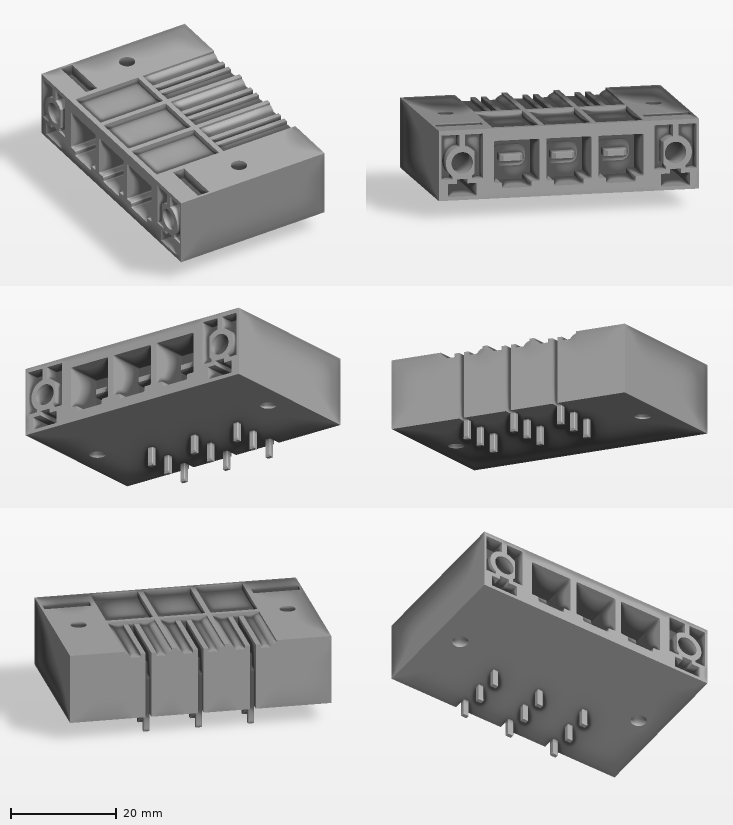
import cadquery as cq


LENGTH = 50.8
DEPTH = 32.0
HEIGHT = 13.6

POLE_PITCH = 10.15
POLE_X = [-POLE_PITCH, 0.0, POLE_PITCH]
PARTITION = 1.0
RECESS_WIDTH = POLE_PITCH - PARTITION
RECESS_DEPTH = 1.3

WINDOW_FRONT = 1.05
WINDOW_BACK = 15.0

CHANNEL_FRONT = WINDOW_BACK + PARTITION
RIB_WIDTH = 0.95
RIB_TOP = HEIGHT - 0.6
RIDGE_RADIUS = 2.1
RIDGE_AXIS_Z = HEIGHT - 2.45

CAVITY_WIDTH = 8.85
CAVITY_BOTTOM = 3.0
CAVITY_TOP = 11.2
CAVITY_DEPTH = 8.05
KEYWAY_WIDTH = 5.8
KEYWAY_BOTTOM = 1.95
CAVITY_FILLET = 0.25

COLLAR_WIDTH = 6.4
COLLAR_HEIGHT = 4.05
COLLAR_LENGTH = 1.0
COLLAR_FILLET = 1.45

PIN_SIZE = 1.15
BLADE_Z = 6.8
BLADE_WIDTH = 4.45
BLADE_HEIGHT = 1.25
BLADE_FRONT = 4.05
BLADE_BACK = CHANNEL_FRONT
BLADE_TIP_LENGTH = 0.75
BLADE_TIP_WIDTH = 3.2
BLADE_TIP_HEIGHT = 1.0
BAR_TOP = BLADE_Z + BLADE_HEIGHT / 2
BAR_BOTTOM = BLADE_Z - BLADE_HEIGHT / 2
PIN_LENGTH = 3.6
PIN_PITCH = 5.1
PIN_COUNT = 3
PIN_CHAMFER = 0.15
PIN_TIP_LENGTH = 0.45
PIN_TIP_TAPER = 0.2
CONTACT_BACK = DEPTH - 1.65
REAR_PIN_Y = CONTACT_BACK - PIN_SIZE / 2

SLOT_WIDTH = 1.1
SLOT_FLOOR = 9.65
WELL_FRONT = DEPTH - 3.55

MOUNT_X = 2 * POLE_PITCH
MOUNT_Y = DEPTH / 2
MOUNT_DIAMETER = 3.1
MOUNT_POST_RADIUS = 2.4

FLANGE_X = 20.85
FLANGE_Z = 7.2
BORE_RADIUS = 2.1
SLEEVE_RADIUS = 3.2
SLEEVE_FLAT = 2.4
FLANGE_POCKET_WIDTH = 8.15
FLANGE_POCKET_BOTTOM = 4.05
FLANGE_POCKET_TOP = 12.7
FLANGE_POCKET_DEPTH = 3.05
WEB_WIDTH = 1.05
FOOT_WIDTH = 3.8
NUT_SLOT_WIDTH = 5.65
NUT_SLOT_BOTTOM = 0.7
NUT_SLOT_TOP = 3.2
NUT_NECK_WIDTH = 2.15

MARKER_FRONT = 4.05
MARKER_BACK = 6.55
MARKER_DEPTH = 2.2


def block(x_centre, width, y_min, y_max, z_min, z_max):
    """Box centred on x_centre, between the given Y and Z planes."""
    return (
        cq.Workplane("XY")
        .box(width, y_max - y_min, z_max - z_min, centered=(True, False, False))
        .translate((x_centre, y_min, z_min))
    )


def rod(x, z, radius, y_min, y_max):
    """Cylinder along Y."""
    return cq.Workplane("XZ", origin=(x, y_min, z)).circle(radius).extrude(y_min - y_max)


def solder_pin(x, y):
    """Square pin with bevelled edges and a wedge-shaped tip."""
    half_size = PIN_SIZE / 2
    half_tip = half_size - PIN_TIP_TAPER
    shoulder_z = PIN_TIP_LENGTH - PIN_LENGTH
    wedge = (
        cq.Workplane("YZ", origin=(x - half_size, y, 0))
        .moveTo(-half_tip, -PIN_LENGTH)
        .lineTo(half_tip, -PIN_LENGTH)
        .lineTo(half_size, shoulder_z)
        .lineTo(half_size, BAR_TOP)
        .lineTo(-half_size, BAR_TOP)
        .lineTo(-half_size, shoulder_z)
        .close()
        .extrude(PIN_SIZE)
    )
    shaft = block(x, PIN_SIZE, y - half_size, y + half_size, -PIN_LENGTH, BAR_TOP)
    return shaft.edges("|Z").chamfer(PIN_CHAMFER).intersect(wedge)


def contact(x):
    """Tapered blade, bar and row of solder pins in one piece."""
    shank = block(x, BLADE_WIDTH, BLADE_FRONT + BLADE_TIP_LENGTH, BLADE_BACK, BAR_BOTTOM, BAR_TOP)
    tip = (
        cq.Workplane("XZ", origin=(x, BLADE_FRONT, BLADE_Z))
        .rect(BLADE_TIP_WIDTH, BLADE_TIP_HEIGHT)
        .workplane(offset=-BLADE_TIP_LENGTH)
        .rect(BLADE_WIDTH, BLADE_HEIGHT)
        .loft()
    )
    bar = block(x, PIN_SIZE, BLADE_BACK, CONTACT_BACK, BAR_BOTTOM, BAR_TOP)
    body = shank.union(tip).union(bar)
    for i in range(PIN_COUNT):
        body = body.union(solder_pin(x, REAR_PIN_Y - i * PIN_PITCH))
    return body


def plug_cavity(x):
    """Keyed cavity open to the front, with a collar left standing on its rear wall."""
    cavity = block(x, CAVITY_WIDTH, 0, CAVITY_DEPTH, CAVITY_BOTTOM, CAVITY_TOP)
    keyway = block(x, KEYWAY_WIDTH, 0, CAVITY_DEPTH, KEYWAY_BOTTOM, CAVITY_TOP)
    collar = block(
        x, COLLAR_WIDTH, CAVITY_DEPTH - COLLAR_LENGTH, CAVITY_DEPTH,
        BLADE_Z - COLLAR_HEIGHT / 2, BLADE_Z + COLLAR_HEIGHT / 2,
    )
    collar = collar.edges("|Y").fillet(COLLAR_FILLET)
    return cavity.union(keyway).edges("|Y").fillet(CAVITY_FILLET).cut(collar)


def top_window(x):
    return block(x, RECESS_WIDTH, WINDOW_FRONT, WINDOW_BACK, HEIGHT - RECESS_DEPTH, HEIGHT)


def wire_channel(x):
    """Channel open to the rear, with two ribs beside the contact slot and a round ridge at each side."""
    channel = block(x, RECESS_WIDTH, CHANNEL_FRONT, DEPTH, HEIGHT - RECESS_DEPTH, HEIGHT)
    for side in (-1, 1):
        rib_x = x + side * (SLOT_WIDTH + RIB_WIDTH) / 2
        channel = channel.cut(block(rib_x, RIB_WIDTH, CHANNEL_FRONT, DEPTH, 0, RIB_TOP))
        ridge_x = x + side * POLE_PITCH / 2
        channel = channel.cut(rod(ridge_x, RIDGE_AXIS_Z, RIDGE_RADIUS, CHANNEL_FRONT, DEPTH))
    return channel


def contact_slot(x):
    """Slot between the ribs that steps down to the contact and passes right through behind it."""
    groove = block(x, SLOT_WIDTH, CHANNEL_FRONT, DEPTH, SLOT_FLOOR, HEIGHT)
    well = block(x, SLOT_WIDTH, WELL_FRONT, DEPTH, BAR_TOP, HEIGHT)
    notch = block(x, SLOT_WIDTH, CONTACT_BACK, DEPTH, 0, HEIGHT)
    return groove.union(well).union(notch)


def flange_pocket(side):
    """Front pocket around the screw sleeve, its upper web and its foot."""
    x = side * FLANGE_X
    pocket = block(
        x, FLANGE_POCKET_WIDTH, 0, FLANGE_POCKET_DEPTH, FLANGE_POCKET_BOTTOM, FLANGE_POCKET_TOP
    )
    sleeve = rod(x, FLANGE_Z, SLEEVE_RADIUS, 0, FLANGE_POCKET_DEPTH)
    flat_side = block(
        x + side * (SLEEVE_RADIUS - SLEEVE_FLAT), 2 * SLEEVE_RADIUS, 0, FLANGE_POCKET_DEPTH, 0, HEIGHT
    )
    web = block(x, WEB_WIDTH, 0, FLANGE_POCKET_DEPTH, FLANGE_Z, HEIGHT)
    foot = block(x, FOOT_WIDTH, 0, FLANGE_POCKET_DEPTH, 0, FLANGE_Z)
    return pocket.cut(sleeve.intersect(flat_side)).cut(web).cut(foot)


def screw_passage(side):
    """Screw bore and T-shaped nut slot, both running back to the post around the mounting hole."""
    x = side * FLANGE_X
    bore = rod(x, FLANGE_Z, BORE_RADIUS, 0, MOUNT_Y)
    nut_slot = block(x, NUT_SLOT_WIDTH, 0, MOUNT_Y, NUT_SLOT_BOTTOM, NUT_SLOT_TOP)
    neck = block(x, NUT_NECK_WIDTH, 0, MOUNT_Y, NUT_SLOT_BOTTOM, FLANGE_POCKET_BOTTOM)
    post = cq.Workplane("XY", origin=(side * MOUNT_X, MOUNT_Y, 0)).circle(MOUNT_POST_RADIUS).extrude(HEIGHT)
    return nut_slot.union(neck).union(bore).cut(post)


def mounting_hole(side):
    return cq.Workplane("XY", origin=(side * MOUNT_X, MOUNT_Y, 0)).circle(MOUNT_DIAMETER / 2).extrude(HEIGHT)


def marker_slot(side):
    return block(side * MOUNT_X, RECESS_WIDTH, MARKER_FRONT, MARKER_BACK, HEIGHT - MARKER_DEPTH, HEIGHT)


contacts = [contact(x) for x in POLE_X]

housing = block(0, LENGTH, 0, DEPTH, 0, HEIGHT)
for pole_x, pole_contact in zip(POLE_X, contacts):
    for feature in (plug_cavity, top_window, wire_channel, contact_slot):
        housing = housing.cut(feature(pole_x))
    housing = housing.cut(pole_contact)
for end in (-1, 1):
    for feature in (flange_pocket, screw_passage, mounting_hole, marker_slot):
        housing = housing.cut(feature(end))

contact_solids = [solid for piece in contacts for solid in piece.solids().vals()]
result = cq.Compound.makeCompound([*housing.solids().vals(), *contact_solids])